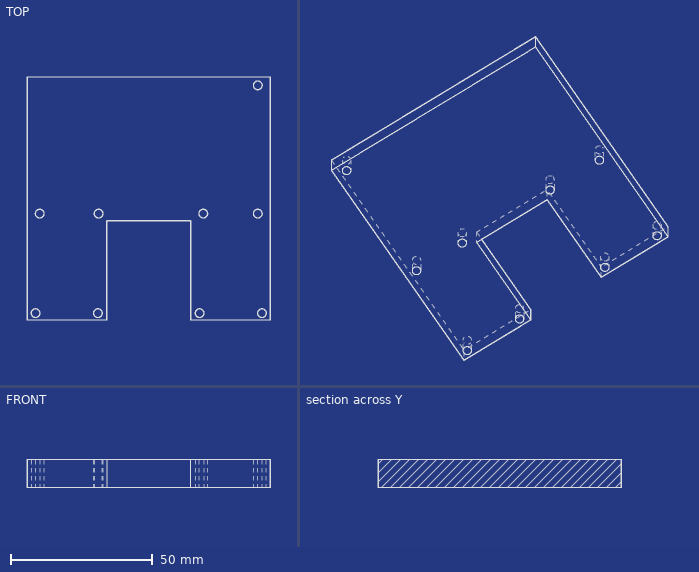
import cadquery as cq

plate_side = 86.0
plate_thickness = 10.0

slot_width = 29.7
slot_depth = 35.1

hole_diameter = 3.0
front_row_y = -40.5
front_outer_x = 40.0
front_inner_x = 18.0
middle_row_y = -5.3
middle_outer_x = 38.5
middle_inner_left_x = -17.7
middle_inner_right_x = 19.3
corner_hole_y = 40.0

front_row = [
    (x, front_row_y)
    for x in (-front_outer_x, -front_inner_x, front_inner_x, front_outer_x)
]
middle_row = [
    (x, middle_row_y)
    for x in (-middle_outer_x, middle_inner_left_x, middle_inner_right_x, middle_outer_x)
]
corner_hole = (middle_outer_x, corner_hole_y)

half_side = plate_side / 2
half_slot = slot_width / 2
slot_end_y = -half_side + slot_depth
plate = (
    cq.Workplane("XY")
    .polyline([
        (-half_side, -half_side),
        (-half_slot, -half_side),
        (-half_slot, slot_end_y),
        (half_slot, slot_end_y),
        (half_slot, -half_side),
        (half_side, -half_side),
        (half_side, half_side),
        (-half_side, half_side),
    ])
    .close()
    .extrude(plate_thickness)
)

result = (
    plate.faces(">Z")
    .workplane(origin=(0, 0, plate_thickness))
    .pushPoints(front_row + middle_row + [corner_hole])
    .hole(hole_diameter)
)